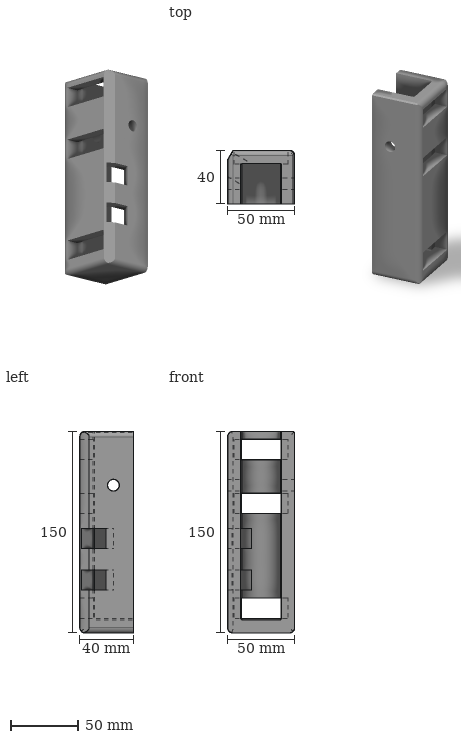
import cadquery as cq
import math

WIDTH = 50.0
DEPTH = 40.0
HEIGHT = 150.0
WALL = 9.8
BACK_WALL = 9.9

EDGE_RADIUS = 4.0
TOP_RIGHT_CHAMFER_WIDTH = 1.4
TOP_RIGHT_CHAMFER_HEIGHT = 0.9
BEVEL_WIDTH = 4.0
BEVEL_DEPTH = 7.0

CAVITY_WIDTH = WIDTH - 2 * WALL
CAVITY_BACK = DEPTH - BACK_WALL
CAVITY_CHAMFER = 0.9

WINDOW_WIDTH = 40.0
WINDOW_LEAD = 0.3
WINDOW_HEIGHT = 15.0
WINDOW_BOTTOMS = (11.0, 89.0, 129.0)

HOLE_DIAMETER = 8.5
HOLE_Y = 15.0
HOLE_Z = 110.0

SLOT_ANGLE = 30.0
SLOT_HEIGHT = 15.0
SLOT_BOTTOMS = (32.0, 62.8)
SLOT_FRONT_Y = 20.4
SLOT_REACH = 8.1

OVERCUT = 7.5


def box(x, y, z, width, depth, height):
    """Box placed by its minimum corner."""
    return cq.Workplane("XY").box(width, depth, height, centered=False).translate((x, y, z))


def outer_body():
    """Block with rounded and chamfered corners, rounded back edges and a bevelled left back edge."""
    block = box(0, 0, 0, WIDTH, DEPTH, HEIGHT)
    side_rounded = (
        block.edges("|Y and <X").fillet(EDGE_RADIUS)
        .edges("|Y and >X and <Z").fillet(EDGE_RADIUS)
        .edges("|Y and >X and >Z").chamfer(TOP_RIGHT_CHAMFER_HEIGHT, TOP_RIGHT_CHAMFER_WIDTH)
    )
    back_rounded = block.edges("|X and >Y").fillet(EDGE_RADIUS)
    plan = (
        cq.Workplane("XY")
        .polyline([
            (0, 0), (WIDTH, 0), (WIDTH, DEPTH),
            (BEVEL_WIDTH, DEPTH), (0, DEPTH - BEVEL_DEPTH),
        ])
        .close()
        .extrude(HEIGHT)
        .edges("|Z and >X and >Y").fillet(EDGE_RADIUS)
    )
    return side_rounded.intersect(back_rounded).intersect(plan)


def cavity():
    """Open trough with chamfered inner corners."""
    trough = box(WALL, -OVERCUT, WALL, CAVITY_WIDTH, CAVITY_BACK + OVERCUT, HEIGHT)
    inner_corners = trough.edges("(|Z and >Y) or (|Y and <Z)")
    return inner_corners.chamfer(CAVITY_CHAMFER)


def window(bottom):
    """Opening wider than the cavity, cut from the inner corner chamfers to the back."""
    front = CAVITY_BACK - WINDOW_LEAD
    left = (WIDTH - WINDOW_WIDTH) / 2
    return box(left, front, bottom, WINDOW_WIDTH, BACK_WALL + OVERCUT, WINDOW_HEIGHT)


def slot(bottom):
    """Channel with parallel slanted sides that ends inside the cavity."""
    slope = math.tan(math.radians(SLOT_ANGLE))
    inner_x = WALL + SLOT_REACH
    outer_x = -OVERCUT
    back_rise = (inner_x - outer_x) * slope
    return (
        cq.Workplane("XY")
        .workplane(offset=bottom)
        .polyline([
            (inner_x, CAVITY_BACK),
            (outer_x, CAVITY_BACK + back_rise),
            (outer_x, SLOT_FRONT_Y - outer_x * slope),
            (inner_x, SLOT_FRONT_Y - inner_x * slope),
        ])
        .close()
        .extrude(SLOT_HEIGHT)
    )


def cross_hole():
    return (
        cq.Workplane("YZ")
        .center(HOLE_Y, HOLE_Z)
        .circle(HOLE_DIAMETER / 2)
        .extrude(WIDTH)
    )


result = outer_body().cut(cavity()).cut(cross_hole())
for window_bottom in WINDOW_BOTTOMS:
    result = result.cut(window(window_bottom))
for slot_bottom in SLOT_BOTTOMS:
    result = result.cut(slot(slot_bottom))